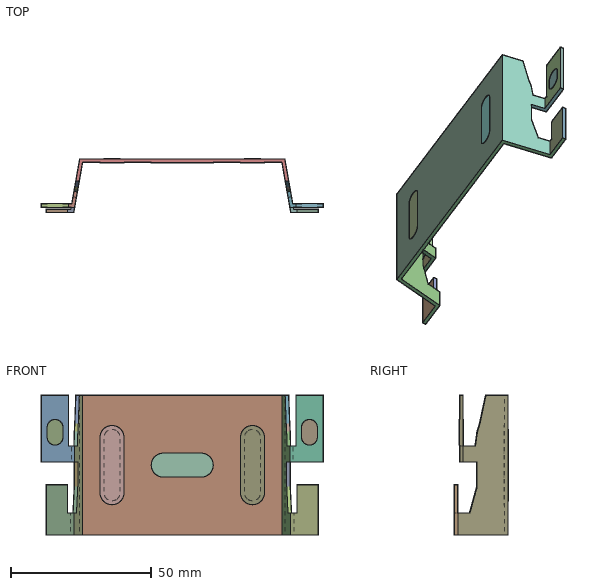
import cadquery as cq
import math

length = 100.6
overall_depth = 19.3
pad_rise = 0.1
depth = overall_depth - pad_rise
height = 50.0
sheet = 1.3
back_half_width = 36.6
splay = math.radians(10)

upper_tab_half = length / 2
upper_tab_depth = 17.3
upper_tab_width = 9.8
upper_root_bottom = height - 23.9
upper_root_top = height - 18.1

lower_tab_half = 48.6
lower_tab_width = 7.7
lower_tab_top = 18.0
lower_root_top = 7.9

wall_edge = [
    (13.8, lower_root_top),
    (11.2, height - 32.7),
    (11.2, upper_root_bottom),
    (11.8, upper_root_top),
    (11.1, height - 13.1),
    (10.2, height - 10.3),
    (7.9, height),
]

back_pad_width = 8.6
upright_pad_length = 28.3
upright_pad_offset = 25.1
back_pad_inset = 1.4
level_pad_length = 22.1
tab_pad_length = 9.2
tab_pad_width = 5.6
tab_pad_offset = 45.4
tab_pad_height = height - 13.3


def box(x_min, x_max, y_min, y_max, z_min, z_max):
    size = (x_max - x_min, y_max - y_min, z_max - z_min)
    return cq.Workplane("XY").box(*size, centered=False).translate((x_min, y_min, z_min))


def outer_wall_x(y):
    return back_half_width - y * math.tan(splay)


def inner_wall_x(y):
    return outer_wall_x(y) - sheet / math.cos(splay)


def wall_strip(front_depth, z_min, z_max):
    """Splayed wall running from the back to the front face of a tab."""
    outline = [
        (outer_wall_x(0), 0),
        (outer_wall_x(-front_depth), -front_depth),
        (inner_wall_x(-front_depth), -front_depth),
        (inner_wall_x(-sheet), -sheet),
    ]
    strip = cq.Workplane("XY").polyline(outline).close().extrude(z_max - z_min)
    return strip.translate((0, 0, z_min))


def tab(half_length, width, front_depth, bottom, root_top, top):
    """L-shaped tab: a root joining the wall and an upright at its outer end."""
    back_face = sheet - front_depth
    root_x = inner_wall_x(-front_depth) + sheet / 2
    root = box(root_x, half_length, -front_depth, back_face, bottom, root_top)
    upright = box(half_length - width, half_length, -front_depth, back_face, bottom, top)
    return wall_strip(front_depth, bottom, root_top).union(root).union(upright)


def side_wall():
    """Wall with its free edge cut square to the sheet."""
    wall_plane = cq.Plane(
        origin=(back_half_width, 0, 0),
        xDir=(math.sin(splay), -math.cos(splay), 0),
        normal=(-math.cos(splay), -math.sin(splay), 0),
    )
    bottom_front = (wall_edge[0][0], 0)
    outline = [(0, 0), bottom_front] + wall_edge + [(0, height)]
    return cq.Workplane(wall_plane).polyline(outline).close().extrude(sheet)


def pad(x, z, pad_length, width, angle, y_front, y_back):
    """Obround through the sheet, ending at the given front and back faces."""
    shape = cq.Workplane("XZ").slot2D(pad_length, width, angle).extrude(y_back - y_front)
    return shape.translate((x, y_back, z))


def upright_pads():
    """Wide pad on the front of the back plate and a narrower one behind it."""
    middle = -sheet / 2
    front = pad(
        upright_pad_offset, height / 2, upright_pad_length, back_pad_width, 90, -sheet - pad_rise, middle
    )
    rear_length = upright_pad_length - 2 * back_pad_inset
    rear_width = back_pad_width - 2 * back_pad_inset
    rear = pad(upright_pad_offset, height / 2, rear_length, rear_width, 90, middle, pad_rise)
    return front, rear


def tab_pad():
    y_front = -upper_tab_depth - pad_rise
    y_back = sheet - upper_tab_depth + pad_rise
    return pad(tab_pad_offset, tab_pad_height, tab_pad_length, tab_pad_width, 90, y_front, y_back)


half = side_wall()
half = half.union(
    tab(upper_tab_half, upper_tab_width, upper_tab_depth, upper_root_bottom, upper_root_top, height)
)
half = half.union(tab(lower_tab_half, lower_tab_width, depth, 0, lower_root_top, lower_tab_top))
for upright_pad in upright_pads():
    half = half.union(upright_pad)
half = half.union(tab_pad())

back = box(-back_half_width, back_half_width, -sheet, 0, 0, height)
level_pad = pad(0, height / 2, level_pad_length, back_pad_width, 0, -sheet - pad_rise, -sheet / 2)

result = back.union(level_pad).union(half).union(half.mirror("YZ"))